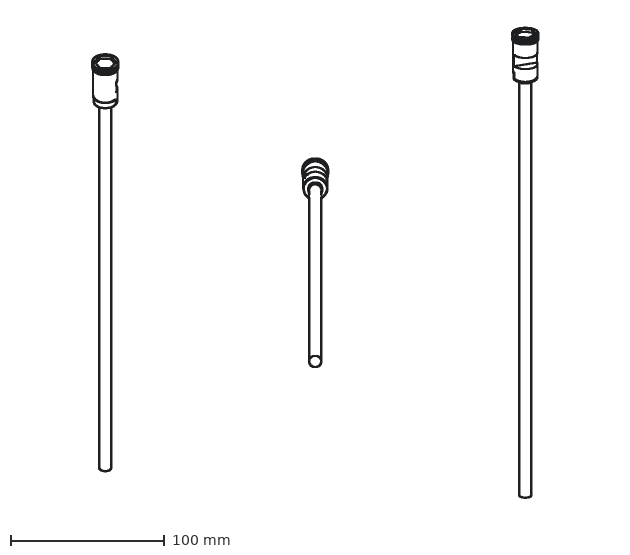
import cadquery as cq
import math

total_height = 332.0

rod_radius = 4.0
collar_radius = 4.6
collar_height = 2.0

head_bottom = 300.0
core_radius = 7.6
shell_radius = 8.0

back_shell_bottom = head_bottom + 0.7
front_shell_bottom = head_bottom + 4.6

window_bottom = 310.0
window_top = 318.0
window_floor_y = 0.8

rim_radius = 8.5
rim_height = 4.2
groove_radius = 7.9
groove_top_margin = 1.2
groove_bottom_margin = 1.5
lip_bevel = 0.5

socket_across_flats = 12.2
socket_depth = 2.0

rim_bottom = total_height - rim_height
block_size = 4 * rim_radius


def cylinder(radius, bottom, top):
    return cq.Workplane("XY").workplane(offset=bottom).circle(radius).extrude(top - bottom)


def back_block(start_y, bottom, top):
    """Block wider than the head that reaches from start_y towards +Y."""
    return (
        cq.Workplane("XY")
        .workplane(offset=bottom)
        .center(0, start_y + block_size / 2)
        .rect(block_size, block_size)
        .extrude(top - bottom)
    )


def make_rod():
    rod = cylinder(rod_radius, 0, head_bottom)
    collar = cylinder(collar_radius, head_bottom - collar_height, head_bottom)
    return rod.union(collar)


def make_body():
    core = cylinder(core_radius, head_bottom, rim_bottom)
    full_shell = cylinder(shell_radius, front_shell_bottom, rim_bottom)
    back_skirt = cylinder(shell_radius, back_shell_bottom, front_shell_bottom).intersect(
        back_block(0, back_shell_bottom, front_shell_bottom)
    )
    window = back_block(window_floor_y, window_bottom, window_top)
    return core.union(full_shell).union(back_skirt).cut(window)


def make_rim():
    """Revolved rim: a thin top flange, the groove, and a lower flange with a bevelled lip."""
    groove_bottom = rim_bottom + groove_bottom_margin
    groove_top = total_height - groove_top_margin
    profile = [
        (0, rim_bottom),
        (rim_radius, rim_bottom),
        (rim_radius, groove_bottom - lip_bevel),
        (rim_radius - lip_bevel, groove_bottom),
        (groove_radius, groove_bottom),
        (groove_radius, groove_top),
        (rim_radius, groove_top),
        (rim_radius, total_height),
        (0, total_height),
    ]
    return cq.Workplane("XZ").polyline(profile).close().revolve(360, (0, 0, 0), (0, 1, 0))


def make_socket():
    """Hexagon with two flats facing +X and -X and two corners on the Y axis."""
    across_corners = socket_across_flats / math.cos(math.pi / 6)
    return (
        cq.Workplane("XY")
        .workplane(offset=total_height - socket_depth)
        .transformed(rotate=(0, 0, 90))
        .polygon(6, across_corners)
        .extrude(socket_depth)
    )


result = make_rod().union(make_body()).union(make_rim()).cut(make_socket())